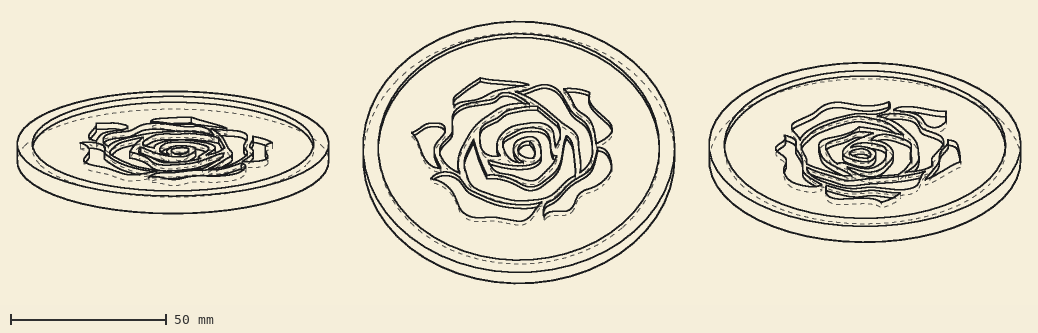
import cadquery as cq

outer_diameter = 100.0
inner_diameter = 90.2
thickness = 6.0
tray_depth = 2.0
petal_depth = 2.0

tray_floor = thickness - tray_depth

rose_petals = {
    "top outer petal": [
        [
            (-4.9, 31.1), (-1.2, 29.3), (5.2, 27.1), (9.5, 24.7),
        ],
        [
            (9.5, 24.7), (0.5, 25.0), (-2.3, 24.7), (-5.7, 23.5), (-9.1, 23.0), (-13.4, 23.2),
            (-15.6, 22.4),
        ],
        [
            (-15.6, 22.4), (-15.1, 25.4), (-12.5, 27.3), (-8.7, 29.4), (-4.9, 31.1),
        ],
    ],
    "upper left outer petal": [
        [
            (-31.6, 15.4), (-27.9, 16.8), (-26.1, 17.5), (-24.2, 17.4), (-21.0, 15.7), (-21.0, 13.4),
            (-23.8, 10.4), (-26.2, 7.3), (-26.5, 3.8), (-25.9, -0.6),
        ],
        [
            (-25.9, -0.6), (-27.9, 0.2), (-29.7, 3.0), (-30.4, 7.5), (-30.6, 11.7), (-31.6, 15.4),
        ],
    ],
    "upper right outer petal": [
        [
            (19.9, 20.4), (23.3, 19.6), (25.9, 18.3), (27.7, 16.9),
        ],
        [
            (27.7, 16.9), (26.8, 13.9), (27.6, 10.5), (29.9, 6.0), (31.1, 3.2), (30.9, 0.4),
            (28.5, -1.9), (24.8, -3.3),
        ],
        [
            (24.8, -3.3), (25.2, 0.0), (25.3, 4.9), (24.4, 7.9), (22.3, 10.9), (21.4, 15.1),
            (19.9, 20.4),
        ],
    ],
    "lower right outer petal": [
        [
            (24.9, -4.8), (27.2, -7.0), (27.7, -10.2), (27.0, -14.3), (23.6, -18.1), (19.5, -20.0),
            (16.5, -20.5), (14.0, -22.0), (12.0, -25.0), (9.5, -27.0), (7.6, -26.9), (4.4, -26.1),
            (1.5, -27.4),
        ],
        [
            (1.5, -27.4), (2.0, -24.5), (3.3, -22.6), (5.9, -21.6), (10.7, -18.1), (14.6, -15.6),
            (19.9, -13.2), (23.1, -8.7), (24.9, -4.8),
        ],
    ],
    "lower left outer petal": [
        [
            (-30.1, -3.9), (-27.9, -2.6), (-25.9, -2.3), (-23.4, -3.1), (-21.2, -5.5), (-19.7, -10.2),
            (-17.0, -13.4), (-11.0, -18.4), (-7.2, -20.2), (-3.1, -21.5), (2.1, -21.6),
        ],
        [
            (2.1, -21.6), (-1.2, -24.8), (-3.5, -26.7), (-5.5, -27.4), (-7.8, -26.9), (-14.4, -23.7),
            (-20.6, -22.2), (-23.4, -19.4), (-24.2, -14.7), (-24.9, -10.0), (-26.1, -7.5), (-30.1, -3.9),
        ],
    ],
    "upper left main petal": [
        [
            (7.8, 17.2), (5.2, 20.9), (1.4, 23.5), (-0.1, 23.5), (-1.6, 22.5), (-5.7, 21.9),
            (-13.6, 21.7), (-16.5, 19.8), (-18.1, 15.4), (-18.9, 12.4), (-23.0, 8.8), (-24.6, 6.4),
            (-24.6, 2.6), (-22.9, -1.5), (-20.5, -4.1),
        ],
        [
            (-20.5, -4.1), (-20.3, -0.6), (-18.9, 3.2), (-15.7, 7.9), (-10.6, 13.4), (-5.0, 16.6),
            (-0.1, 18.4), (3.7, 18.4), (7.8, 17.2),
        ],
    ],
    "right main petal": [
        [
            (4.8, 22.9), (7.5, 22.7), (11.6, 23.5), (14.4, 23.5), (17.2, 21.6), (19.1, 16.9),
            (20.8, 9.6), (23.3, 5.6), (23.8, 3.8), (23.5, -3.2), (20.8, -10.2), (19.1, -11.9),
            (16.9, -13.2),
        ],
        [
            (16.9, -13.2), (18.3, -8.3), (18.9, -3.8), (19.6, 0.8), (18.8, 3.6), (17.2, 5.8),
            (13.5, 12.2), (10.1, 17.5), (4.8, 22.9),
        ],
    ],
    "lower main petal": [
        [
            (-13.0, 7.9), (-13.0, 0.0), (-12.3, -7.0),
        ],
        [
            (-12.3, -7.0), (-8.7, -8.0), (-3.8, -11.7), (-0.3, -14.8), (2.0, -15.0), (5.6, -13.4),
            (9.3, -11.0), (12.3, -6.8), (14.2, -1.9), (16.3, 2.1),
        ],
        [
            (16.3, 2.1), (17.2, -0.4), (16.8, -6.0), (15.9, -11.3), (15.0, -14.1),
        ],
        [
            (15.0, -14.1), (10.1, -16.8), (5.2, -20.0), (3.3, -20.4), (-1.2, -20.1), (-5.0, -19.4),
            (-9.1, -17.4), (-15.3, -13.0), (-18.0, -9.8), (-18.6, -5.6), (-18.0, 0.2), (-15.5, 4.5),
            (-13.0, 7.9),
        ],
    ],
    "upper inner petal": [
        [
            (-6.3, -0.4), (-8.4, -0.2), (-10.8, 1.7), (-11.4, 4.5), (-10.8, 8.3), (-9.5, 11.7),
            (-6.9, 13.3), (-3.1, 14.5), (-0.1, 16.2), (2.6, 16.5), (7.1, 16.3), (10.1, 15.6),
        ],
        [
            (10.1, 15.6), (12.3, 11.7), (14.8, 7.5),
        ],
        [
            (14.8, 7.5), (14.7, 3.8), (13.9, 1.5), (11.8, -1.3),
        ],
        [
            (11.8, -1.3), (12.3, 2.3), (12.2, 6.2), (9.5, 9.0), (4.8, 9.9), (0.7, 9.9),
            (-3.5, 7.9), (-5.7, 5.3), (-6.3, -0.4),
        ],
    ],
    "spiral petal": [
        [
            (-10.5, -1.3), (-7.2, -3.4), (-3.8, -5.1), (-0.1, -6.2), (4.1, -6.0), (6.1, -4.5),
            (6.9, -1.9), (6.9, 2.4), (5.8, 4.1), (2.9, 4.6), (-0.1, 3.6), (-1.5, 1.1),
            (-1.3, -2.3), (0.3, -4.8),
        ],
        [
            (0.3, -4.8), (-2.7, -3.6), (-4.1, -1.1), (-4.5, 2.6), (-3.7, 5.4), (-0.8, 7.0),
            (2.6, 8.1), (6.3, 7.8), (9.9, 5.8), (10.8, 2.6), (10.3, -0.8), (10.2, -4.5),
        ],
        [
            (10.2, -4.5), (11.2, -5.0),
        ],
        [
            (11.2, -5.0), (10.1, -6.8), (5.2, -11.0), (1.8, -12.7), (-0.5, -12.0), (-5.0, -8.7),
            (-9.1, -6.3), (-10.2, -3.8), (-10.5, -1.3),
        ],
    ],
    "core": [
        [
            (4.3, 2.7), (5.1, -0.2), (3.9, -3.9),
        ],
        [
            (3.9, -3.9), (1.1, -2.9), (-0.3, -0.2), (0.7, 1.9), (4.3, 2.7),
        ],
    ],
}


def round_tray():
    """Disc with a shallow round recess that leaves a raised rim."""
    disc = cq.Workplane("XY").circle(outer_diameter / 2).extrude(thickness)
    recess = cq.Workplane("XY").workplane(offset=tray_floor).circle(inner_diameter / 2).extrude(tray_depth)
    return disc.cut(recess)


def petal_pocket(edges):
    """Solid that cuts one petal into the tray floor."""
    outline = cq.Workplane("XY").workplane(offset=tray_floor).moveTo(*edges[0][0])
    for points in edges:
        outline = outline.spline(points[1:], includeCurrent=True)
    return outline.close().extrude(-petal_depth)


result = round_tray()
for edges in rose_petals.values():
    result = result.cut(petal_pocket(edges))